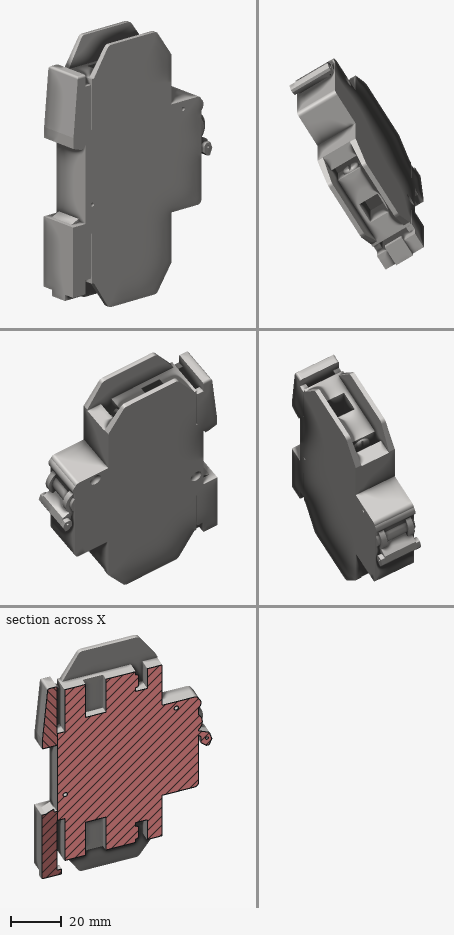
import cadquery as cq
import math


WIDTH = 17.7
HALF_WIDTH = WIDTH / 2
HALF_HEIGHT = 55.0

SEAT_Y = 6.6
REAR_Y = 9.8
REAR_STEP_Y = 10.9
FRONT_Y = 51.6
NOSE_Y = 67.2
CREST_FRONT_Y = 43.8
CREST_REAR_Y = 18.7
CREST_ROUND = 2.2
SEAT_HALF_HEIGHT = 21.9
CORE_HALF_HEIGHT = 42.9
SHOULDER_Z = 43.6
NOSE_HALF_HEIGHT = 22.7
NOSE_ROUND = 1.9

BEAD_TOP_Z = 21.3
BEAD_BOTTOM_Z = 16.5
BEAD_HEIGHT = 1.1

PLATE_ROOT = 2.6
PLATE_TIP = 1.9
CORE_HALF_WIDTH = HALF_WIDTH - PLATE_ROOT

SLOT_FRONT_Y = 45.2
SLOT_REAR_Y = 40.3
SLOT_DEPTH = 9.9
SCREW_DIAMETER = 7.3
SCREW_HEIGHT = 1.3
SCREW_ROUND = 1.2
SCREW_SLOT_WIDTH = 1.0
SCREW_SLOT_DEPTH = 0.7
WIRE_WIDTH = 8.5
WIRE_FRONT_Y = 27.5
WIRE_REAR_Y = 18.8
WIRE_DEPTH = 16.5

HOLE_CENTERS = [(57.6, 19.4), (10.1, -9.8)]
HOLE_DIAMETER = 1.6
SINK_DIAMETER = 5.1
SINK_DEPTH = 3.3

DRUM_Y = 63.7
DRUM_Z = 9.4
DRUM_RADIUS = 5.2
DRUM_WIDTH = 16.9
CHEEK_RADIUS = 6.9
CHEEK_INNER_X = 5.0
CHEEK_OUTER_X = 7.3
ARM_WIDTH = 14.1
TIP_HOLE_Y = 70.7
TIP_HOLE_Z = 0.4
TIP_HOLE_DIAMETER = 1.0
ARM_ROOT = [(68.1, 1.9), (66.4, 3.4), (66.9, 5.4), (71.8, 3.1)]
ARM_HEEL = (68.1, -1.1)
TIP_NOSE = [(72.9, -0.4), (71.7, -3.3), (70.5, -3.3)]
TIP_TOP_Z = 2.2
TIP_FRONT_Y = 71.9
TIP_REAR_Y = 68.8
TIP_REAR_BOTTOM_Z = -1.6
TIP_ROUND = 1.9

TAB_Y = 9.5
TAB_END_Z = 40.6
RAIL_WIDTH = 2.6
CHANNEL_WIDTH = WIDTH - 2 * RAIL_WIDTH
UPPER_TOP_Z = 45.4
UPPER_TOP_Y = 2.5
UPPER_KINK_Z = 20.5
UPPER_REAR_Y = 0.2
UPPER_BOTTOM_Z = 15.8
UPPER_ROUND = 1.0
TOOTH_FRONT_Y = 5.7
TOOTH_REAR_Y = 4.2
TOOTH_DROP = 1.3
LOWER_TOP_Z = -17.0
LOWER_BOTTOM_Z = -46.5
WEDGE_WIDTH = 11.9
WEDGE_FRONT_Y = 5.4
WEDGE_REAR_Y = 1.8
WEDGE_HEIGHT = 1.6
TONGUE_WIDTH = 7.8
TONGUE_FRONT_Y = 8.7
TONGUE_HEIGHT = 2.6


def across(profile, width):
    """Extrude a closed YZ profile symmetrically about mid-width."""
    return profile.extrude(width / 2, both=True)


def polygon(points):
    """Closed YZ outline through the given points."""
    return cq.Workplane("YZ").polyline(points).close()


def block(x_min, x_max, y_min, y_max, z_min, z_max):
    """Axis-aligned box between the given limits."""
    box = cq.Workplane("XY").box(x_max - x_min, y_max - y_min, z_max - z_min, centered=False)
    return box.translate((x_min, y_min, z_min))


def mirrored_down(shape):
    """The same shape on the other side of mid-height."""
    return shape.mirror("XY")


def housing_blank():
    rear_and_crest = [
        (SEAT_Y, SEAT_HALF_HEIGHT),
        (REAR_Y, SEAT_HALF_HEIGHT),
        (REAR_Y, CORE_HALF_HEIGHT),
        (REAR_STEP_Y, CORE_HALF_HEIGHT),
        (CREST_REAR_Y, HALF_HEIGHT),
        (CREST_FRONT_Y, HALF_HEIGHT),
        (FRONT_Y, SHOULDER_Z),
        (FRONT_Y, NOSE_HALF_HEIGHT),
        (NOSE_Y, NOSE_HALF_HEIGHT),
    ]
    lower_half = [(y, -z) for y, z in reversed(rear_and_crest)]
    blank = across(polygon(rear_and_crest + lower_half), WIDTH)
    blank = blank.edges("|X").edges(">Z or <Z").fillet(CREST_ROUND)
    return blank.edges("|X").edges(">Y").fillet(NOSE_ROUND)


def grip_bead():
    """Bead that grows out of the rounded upper edge of the nose."""
    round_center_y = NOSE_Y - NOSE_ROUND
    round_center_z = NOSE_HALF_HEIGHT - NOSE_ROUND
    top_y = round_center_y + math.sqrt(NOSE_ROUND**2 - (BEAD_TOP_Z - round_center_z) ** 2)
    peak = (NOSE_Y + BEAD_HEIGHT, (BEAD_TOP_Z + BEAD_BOTTOM_Z) / 2)
    profile = (
        cq.Workplane("YZ")
        .moveTo(round_center_y, BEAD_BOTTOM_Z)
        .lineTo(NOSE_Y, BEAD_BOTTOM_Z)
        .threePointArc(peak, (top_y, BEAD_TOP_Z))
        .lineTo(round_center_y, BEAD_TOP_Z)
        .close()
    )
    return across(profile, WIDTH)


def plate_gap():
    """Drafted space between the side plates above the core."""
    tip_half_width = HALF_WIDTH - PLATE_TIP
    profile = cq.Workplane("XZ").polyline([
        (-CORE_HALF_WIDTH, CORE_HALF_HEIGHT),
        (-tip_half_width, HALF_HEIGHT),
        (tip_half_width, HALF_HEIGHT),
        (CORE_HALF_WIDTH, CORE_HALF_HEIGHT),
    ]).close()
    return profile.extrude(-NOSE_Y)


def terminal_openings():
    """Screw slot and wire opening in the upper end of the core."""
    slot = block(
        -CORE_HALF_WIDTH, CORE_HALF_WIDTH, SLOT_REAR_Y, SLOT_FRONT_Y,
        CORE_HALF_HEIGHT - SLOT_DEPTH, CORE_HALF_HEIGHT,
    )
    wire_opening = block(
        -WIRE_WIDTH / 2, WIRE_WIDTH / 2, WIRE_REAR_Y, WIRE_FRONT_Y,
        CORE_HALF_HEIGHT - WIRE_DEPTH, CORE_HALF_HEIGHT,
    )
    return slot.union(wire_opening)


def terminal_screw():
    """Slotted screw head on the rear wall of the screw slot, facing the toggle side."""
    radius = SCREW_DIAMETER / 2
    center_z = CORE_HALF_HEIGHT - SLOT_DEPTH / 2
    face_y = SLOT_REAR_Y + SCREW_HEIGHT
    head = cq.Workplane("XZ").circle(radius).extrude(-SCREW_HEIGHT)
    head = head.faces(">Y").edges().fillet(SCREW_ROUND).translate((0, SLOT_REAR_Y, center_z))
    driver_slot = block(
        -SCREW_SLOT_WIDTH / 2, SCREW_SLOT_WIDTH / 2, face_y - SCREW_SLOT_DEPTH, face_y,
        center_z - radius, center_z + radius,
    )
    return head.cut(driver_slot)


def assembly_hole(y, z):
    bore = across(cq.Workplane("YZ").center(y, z).circle(HOLE_DIAMETER / 2), WIDTH)
    sink = cq.Solid.makeCone(
        SINK_DIAMETER / 2, HOLE_DIAMETER / 2, SINK_DEPTH,
        pnt=cq.Vector(-HALF_WIDTH, y, z), dir=cq.Vector(1, 0, 0),
    )
    return bore.union(cq.Workplane(sink))


def toggle():
    """Drum, two cheeks, and an arm that ends in a full-width tip bar."""
    center = cq.Workplane("YZ").center(DRUM_Y, DRUM_Z)
    drum = across(center.circle(DRUM_RADIUS), DRUM_WIDTH)
    cheeks = across(center.circle(CHEEK_RADIUS), 2 * CHEEK_OUTER_X)
    cheeks = cheeks.cut(across(center.circle(CHEEK_RADIUS), 2 * CHEEK_INNER_X))
    arm = across(polygon(ARM_ROOT + TIP_NOSE + [ARM_HEEL]), ARM_WIDTH)
    tip_profile = (
        cq.Workplane("YZ")
        .moveTo(TIP_FRONT_Y, TIP_TOP_Z)
        .lineTo(TIP_REAR_Y + TIP_ROUND, TIP_TOP_Z)
        .radiusArc((TIP_REAR_Y, TIP_TOP_Z - TIP_ROUND), -TIP_ROUND)
        .lineTo(TIP_REAR_Y, TIP_REAR_BOTTOM_Z)
    )
    for y, z in reversed(TIP_NOSE):
        tip_profile = tip_profile.lineTo(y, z)
    tip_profile = tip_profile.close()
    tip_bar = across(tip_profile, WIDTH)
    hole_center = cq.Workplane("YZ").center(TIP_HOLE_Y, TIP_HOLE_Z)
    tip_hole = across(hole_center.circle(TIP_HOLE_DIAMETER / 2), WIDTH)
    return drum.union(cheeks).union(arm).union(tip_bar).cut(tip_hole)


def make_housing():
    upper_cut = plate_gap().union(terminal_openings()).cut(terminal_screw())
    housing = housing_blank().union(grip_bead()).union(toggle())
    housing = housing.cut(upper_cut).cut(mirrored_down(upper_cut))
    for y, z in HOLE_CENTERS:
        housing = housing.cut(assembly_hole(y, z))
    return housing


def side_rails(profile_points):
    """Full-width extrusion of a profile with the middle channel left out."""
    return across(polygon(profile_points), WIDTH).cut(across(polygon(profile_points), CHANNEL_WIDTH))


def upper_tabs():
    return side_rails([
        (SEAT_Y, SEAT_HALF_HEIGHT), (TAB_Y, SEAT_HALF_HEIGHT), (TAB_Y, TAB_END_Z), (SEAT_Y, TAB_END_Z),
    ])


def make_upper_foot():
    foot = across(polygon([
        (SEAT_Y, UPPER_BOTTOM_Z),
        (SEAT_Y, UPPER_TOP_Z),
        (UPPER_TOP_Y, UPPER_TOP_Z),
        (UPPER_REAR_Y, UPPER_KINK_Z),
        (UPPER_REAR_Y, UPPER_BOTTOM_Z),
    ]), WIDTH)
    foot = foot.faces(">Z").edges("|Y or <Y").fillet(UPPER_ROUND)
    teeth = side_rails([
        (TOOTH_FRONT_Y, UPPER_BOTTOM_Z),
        (TOOTH_FRONT_Y, UPPER_BOTTOM_Z - TOOTH_DROP),
        (TOOTH_REAR_Y, UPPER_BOTTOM_Z - TOOTH_DROP),
        (UPPER_REAR_Y, UPPER_BOTTOM_Z),
    ])
    return foot.union(upper_tabs()).union(teeth)


def make_lower_foot():
    bar = block(-HALF_WIDTH, HALF_WIDTH, 0, SEAT_Y, LOWER_BOTTOM_Z, LOWER_TOP_Z)
    wedge = across(polygon([
        (WEDGE_FRONT_Y, LOWER_TOP_Z),
        (WEDGE_FRONT_Y, LOWER_TOP_Z + WEDGE_HEIGHT),
        (WEDGE_REAR_Y, LOWER_TOP_Z),
    ]), WEDGE_WIDTH)
    tongue = block(
        -TONGUE_WIDTH / 2, TONGUE_WIDTH / 2, 0, TONGUE_FRONT_Y,
        LOWER_BOTTOM_Z - TONGUE_HEIGHT, LOWER_BOTTOM_Z,
    )
    return bar.union(mirrored_down(upper_tabs())).union(wedge).union(tongue)


housing = make_housing()
upper_foot = make_upper_foot()
lower_foot = make_lower_foot()

result = cq.Compound.makeCompound([housing.val(), upper_foot.val(), lower_foot.val()])